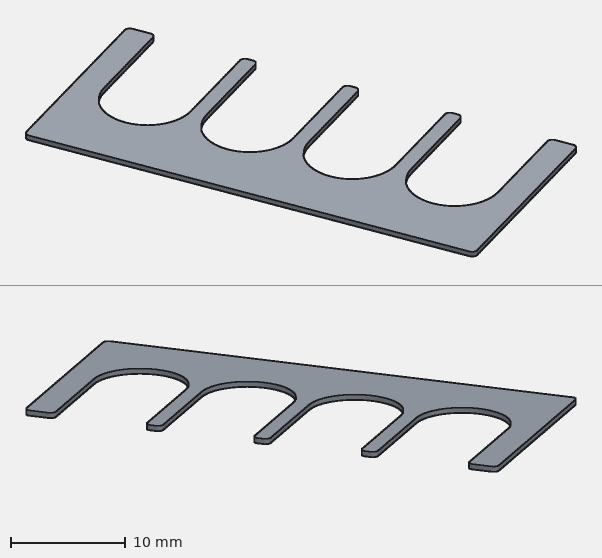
import cadquery as cq

length = 44.0
width = 20.0
thickness = 0.5
corner_radius = 0.5

slot_count = 4
slot_pitch = 10.0
slot_width = 8.5
slot_depth = 14.25
slot_radius = slot_width / 2
slot_center_y = width / 2 - slot_depth + slot_radius


def make_plate():
    """Flat rectangular plate centred on the origin in X and Y, base at Z = 0."""
    return cq.Workplane("XY").rect(length, width).extrude(thickness)


def make_slot(center_x):
    """Cutter for one U-shaped slot, open at the +Y edge."""
    left = center_x - slot_radius
    right = center_x + slot_radius
    open_end = width / 2
    return (
        cq.Workplane("XY")
        .moveTo(left, open_end)
        .lineTo(left, slot_center_y)
        .threePointArc((center_x, slot_center_y - slot_radius), (right, slot_center_y))
        .lineTo(right, open_end)
        .close()
        .extrude(thickness)
    )


def cut_slots(plate):
    """Cut the row of evenly spaced slots, leaving fingers between them."""
    first_x = -slot_pitch * (slot_count - 1) / 2
    for index in range(slot_count):
        plate = plate.cut(make_slot(first_x + index * slot_pitch))
    return plate


def round_corners(plate):
    """Round the two base corners and both corners of every finger tip."""
    plate = plate.edges("|Z").edges("<Y").fillet(corner_radius)
    return plate.edges("|Z").edges(">Y").fillet(corner_radius)


result = round_corners(cut_slots(make_plate()))